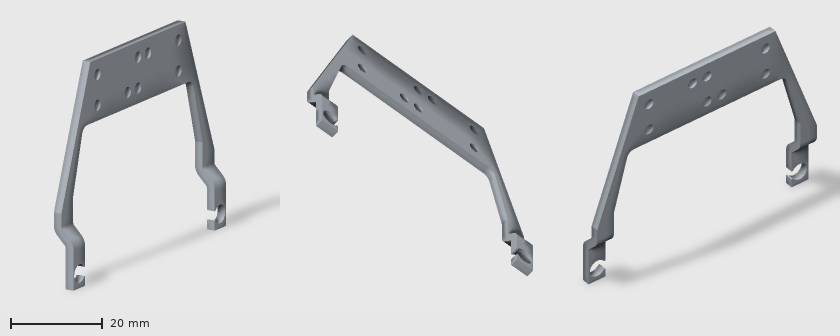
import cadquery as cq
import math

thickness = 2.0
joggle_offset = 3.1
width = 60.4
height = 48.6

top_width = 37.6
plate_height = 14.0
leg_width = 4.6
outer_kink_z = 17.0
inner_kink_z = 19.6
inner_corner_half_width = 21.6
inner_corner_radius = 2.0

bend_angle = math.radians(45)
inner_bend_radius = 1.0
joggle_top_z = 14.0

hole_diameter = 2.5
hole_pitch = 4.0
outer_hole_y = 4 * hole_pitch
top_edge_distance = 3.5
row_spacing = 7.0
upper_row_z = height - top_edge_distance
lower_row_z = upper_row_z - row_spacing

clip_diameter = 4.2
clip_edge_distance = 2.45
clip_z = 3.3
clip_opening = 2.2

half_width = width / 2
leg_inner_y = half_width - leg_width
total_depth = thickness + joggle_offset
outer_bend_radius = inner_bend_radius + thickness
bend_radii_sum = inner_bend_radius + outer_bend_radius
straight_run = (joggle_offset - bend_radii_sum * (1 - math.cos(bend_angle))) / math.sin(bend_angle)
joggle_height = bend_radii_sum * math.sin(bend_angle) + straight_run * math.cos(bend_angle)
joggle_bottom_z = joggle_top_z - joggle_height


def upper_bend_point(radius, angle):
    """Point on the upper bend, whose centre lies on the +X side of the plate."""
    return (outer_bend_radius - radius * math.cos(angle), joggle_top_z - radius * math.sin(angle))


def lower_bend_point(radius, angle):
    """Point on the lower bend, whose centre lies on the -X side of the foot."""
    centre_x = joggle_offset - inner_bend_radius
    return (centre_x + radius * math.cos(angle), joggle_bottom_z + radius * math.sin(angle))


def make_bent_sheet():
    """Joggled sheet section in the XZ plane, extruded over the full width."""
    half_angle = bend_angle / 2
    section = (
        cq.Workplane("XZ")
        .moveTo(0, height)
        .lineTo(0, joggle_top_z)
        .threePointArc(
            upper_bend_point(outer_bend_radius, half_angle),
            upper_bend_point(outer_bend_radius, bend_angle),
        )
        .lineTo(*lower_bend_point(inner_bend_radius, bend_angle))
        .threePointArc(
            lower_bend_point(inner_bend_radius, half_angle),
            (joggle_offset, joggle_bottom_z),
        )
        .lineTo(joggle_offset, 0)
        .lineTo(total_depth, 0)
        .lineTo(total_depth, joggle_bottom_z)
        .threePointArc(
            lower_bend_point(outer_bend_radius, half_angle),
            lower_bend_point(outer_bend_radius, bend_angle),
        )
        .lineTo(*upper_bend_point(inner_bend_radius, bend_angle))
        .threePointArc(
            upper_bend_point(inner_bend_radius, half_angle),
            (thickness, joggle_top_z),
        )
        .lineTo(thickness, height)
        .close()
    )
    return section.extrude(half_width, both=True)


def make_outline():
    """Prism along X with the shape of the bracket: a plate on two splayed legs."""
    frame = (
        cq.Workplane("YZ")
        .polyline([
            (-half_width, 0),
            (-half_width, outer_kink_z),
            (-top_width / 2, height),
            (top_width / 2, height),
            (half_width, outer_kink_z),
            (half_width, 0),
        ])
        .close()
        .extrude(total_depth)
    )
    opening = (
        cq.Workplane("YZ")
        .polyline([
            (-leg_inner_y, 0),
            (-leg_inner_y, inner_kink_z),
            (-inner_corner_half_width, height - plate_height),
            (inner_corner_half_width, height - plate_height),
            (leg_inner_y, inner_kink_z),
            (leg_inner_y, 0),
        ])
        .close()
        .extrude(total_depth)
        .edges("|X and >Z")
        .fillet(inner_corner_radius)
    )
    return frame.cut(opening)


def make_plate_holes():
    """Two rows of through holes in the plate."""
    upper_row = [(y, upper_row_z) for y in (-outer_hole_y, 0, hole_pitch, outer_hole_y)]
    lower_row = [(y, lower_row_z) for y in (-outer_hole_y, -hole_pitch, 0, outer_hole_y)]
    return (
        cq.Workplane("YZ")
        .pushPoints(upper_row + lower_row)
        .circle(hole_diameter / 2)
        .extrude(total_depth)
    )


def make_clip_cut(side):
    """Round clip hole in one foot, with a slot opening toward the middle."""
    clip_y = half_width - clip_edge_distance
    hole = (
        cq.Workplane("YZ")
        .center(side * clip_y, clip_z)
        .circle(clip_diameter / 2)
        .extrude(total_depth)
    )
    slot_length = clip_y - leg_inner_y
    slot = (
        cq.Workplane("YZ")
        .center(side * (clip_y + leg_inner_y) / 2, clip_z)
        .rect(slot_length, clip_opening)
        .extrude(total_depth)
    )
    return hole.union(slot)


result = make_bent_sheet().intersect(make_outline()).cut(make_plate_holes())
for side in (-1, 1):
    result = result.cut(make_clip_cut(side))